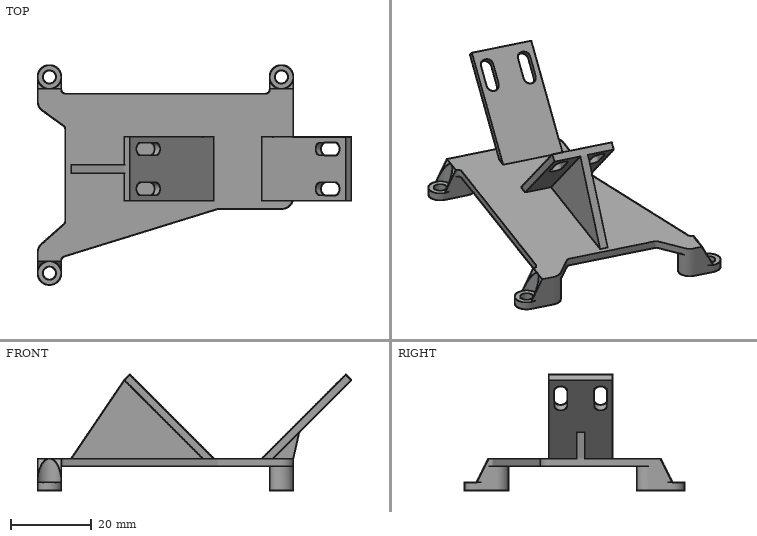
import cadquery as cq
import math

length = 78.4
depth = 55.0
height = 29.0

plate_top = 8.0
plate_thickness = 1.95
plate_right = 63.9
plate_rear = 47.8
plate_front = 19.0
front_bend_x = 45.0
front_edge_start_y = 6.9
notch_x = 6.9
notch_front_y = 15.5
notch_rear_y = 39.45
plate_fillet = 1.0
bend_fillet = 1.95

foot_width = 5.95
foot_radius = foot_width / 2
pad_height = 2.0
screw_diameter = 3.2
front_foot_run = 5.1
rear_foot_run = 6.0
rear_foot_y = depth - foot_radius

blade_thickness = 1.95
blade_offset = blade_thickness / math.sqrt(2)
blade_width = 16.0
blade_y = 29.0
left_tip_x = 23.05
right_tip_x = length - blade_offset
blade_rise = height - plate_top

slot_length = 8.4
slot_width = 3.2
slot_spacing = 9.95
slot_from_tip = 6.5

rib_thickness = 2.0
left_rib_x = 8.4
right_rib_top = 14.6


def tangent_point(center, corner):
    """Point on a left foot's inner round end, on its -X side, where a line from corner is tangent."""
    dx = corner[0] - center[0]
    dy = corner[1] - center[1]
    direction = math.atan2(dy, dx)
    swing = math.acos(foot_radius / math.hypot(dx, dy))
    angle = direction + math.copysign(swing, dy)
    return (center[0] + foot_radius * math.cos(angle), center[1] + foot_radius * math.sin(angle))


def make_plate():
    front_center = (foot_radius, foot_radius + front_foot_run)
    rear_center = (foot_radius, rear_foot_y - rear_foot_run)
    notch_front = (notch_x, notch_front_y)
    notch_rear = (notch_x, notch_rear_y)
    front_tab = foot_width
    rear_tab = depth - foot_width
    right_foot_left = plate_right - foot_width
    outline = [
        (0, front_tab),
        (foot_width, front_tab),
        (foot_width, front_edge_start_y),
        (front_bend_x, plate_front),
        (plate_right, plate_front),
        (plate_right, rear_tab),
        (right_foot_left, rear_tab),
        (right_foot_left, plate_rear),
        (foot_width, plate_rear),
        (foot_width, rear_tab),
        (0, rear_tab),
        (0, rear_center[1]),
        tangent_point(rear_center, notch_rear),
        notch_rear,
        notch_front,
        tangent_point(front_center, notch_front),
        (0, front_center[1]),
    ]
    plate = (
        cq.Workplane("XY", origin=(0, 0, plate_top - plate_thickness))
        .polyline(outline).close().extrude(plate_thickness)
    )
    fillets = [
        ((foot_width, front_edge_start_y), plate_fillet),
        ((front_bend_x, plate_front), bend_fillet),
        ((plate_right, plate_front), foot_radius),
        ((right_foot_left, plate_rear), plate_fillet),
        ((foot_width, plate_rear), plate_fillet),
        (notch_rear, plate_fillet),
        (notch_front, plate_fillet),
    ]
    for (x, y), radius in fillets:
        corner = cq.selectors.NearestToPointSelector((x, y, plate_top - plate_thickness / 2))
        plate = plate.edges("|Z").edges(corner).fillet(radius)
    return plate


def make_foot(run):
    """Foot with its screw hole on the origin, running inward along +Y."""
    foot = (
        cq.Workplane("XY").center(0, run / 2)
        .slot2D(run + foot_width, foot_width, 90).extrude(plate_top)
    )
    clearance = (
        cq.Workplane("YZ")
        .polyline([
            (-foot_width, pad_height),
            (0, pad_height),
            (foot_radius, plate_top),
            (-foot_width, plate_top),
        ])
        .close().extrude(foot_radius, both=True)
    )
    seat = (
        cq.Workplane("XY", origin=(0, 0, pad_height))
        .circle(foot_radius).extrude(plate_top - pad_height)
    )
    hole = cq.Workplane("XY").circle(screw_diameter / 2).extrude(pad_height)
    return foot.cut(clearance).cut(seat).cut(hole)


def extrude_profile(points, width):
    """Extrude an XZ profile symmetrically about the blade centre plane."""
    return (
        cq.Workplane("XZ", origin=(0, blade_y, 0))
        .polyline(points).close().extrude(width / 2, both=True)
    )


def make_blade(tip_x, lean):
    """45 degree blade; lean is +1 when it leans toward +X and -1 toward -X."""
    base_x = tip_x - lean * blade_rise
    blade = extrude_profile(
        [
            (base_x, plate_top),
            (tip_x, height),
            (tip_x + lean * blade_offset, height - blade_offset),
            (base_x + lean * 2 * blade_offset, plate_top),
        ],
        blade_width,
    )
    slot_drop = slot_from_tip / math.sqrt(2)
    face = cq.Plane(
        origin=(tip_x - lean * slot_drop, blade_y, height - slot_drop),
        xDir=(lean, 0, 1),
        normal=(-lean, 0, 1),
    )
    slots = (
        cq.Workplane(face)
        .pushPoints([(0, -slot_spacing / 2), (0, slot_spacing / 2)])
        .slot2D(slot_length, slot_width).extrude(blade_thickness, both=True)
    )
    return blade.cut(slots)


def make_ribs():
    left_base_x = left_tip_x + blade_rise - 2 * blade_offset
    left_rib = extrude_profile(
        [
            (left_rib_x, plate_top),
            (left_tip_x - blade_offset, height - blade_offset),
            (left_base_x, plate_top),
        ],
        rib_thickness,
    )
    right_base_x = right_tip_x - blade_rise + 2 * blade_offset
    right_rib = extrude_profile(
        [
            (right_base_x, plate_top),
            (right_base_x + right_rib_top - plate_top, right_rib_top),
            (plate_right, plate_top),
        ],
        rib_thickness,
    )
    return left_rib.union(right_rib)


front_foot = make_foot(front_foot_run).translate((foot_radius, foot_radius, 0))
rear_foot = make_foot(rear_foot_run).mirror("XZ").translate((0, rear_foot_y, 0))

result = make_plate().union(front_foot)
for foot_x in (foot_radius, plate_right - foot_radius):
    result = result.union(rear_foot.translate((foot_x, 0, 0)))
for tip_x, lean in ((left_tip_x, -1), (right_tip_x, 1)):
    result = result.union(make_blade(tip_x, lean))
result = result.union(make_ribs())